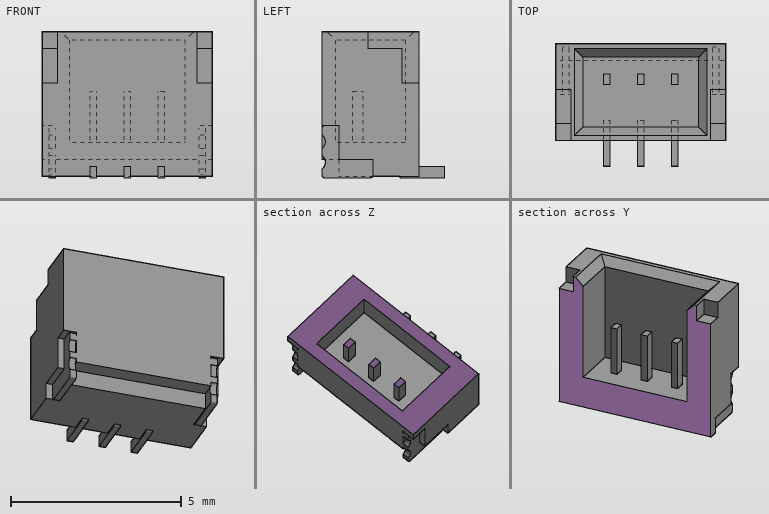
import cadquery as cq

housing_width = 5.0
housing_depth = 2.85
housing_height = 4.25
half_width = housing_width / 2

cavity_width = 3.4
cavity_depth = 2.05
cavity_rear_wall = 0.4
cavity_floor_z = 1.0
lead_in = 0.25

step_short = 0.5
step_long = 1.5
notch_width = 0.46

plate_inset = 0.2
standoff = 0.05
plate_thickness = 0.2
recess_width = plate_inset + plate_thickness
plate_corner_radius = 0.1
scallop_radius = 0.25
scallop_depth = 0.1
scallop_heights = (0.42, 1.02)

contact_count = 3
contact_pitch = 1.0
contact_width = 0.2
post_depth = 0.3
post_rear_gap = 0.9
post_top_z = 2.5
tail_height = 0.35
tail_reach = 0.75
tail_heel = 0.6
tail_heel_radius = 0.1


def box(x, y, z):
    """Box spanning the given (low, high) ranges along X, Y and Z."""
    size = (x[1] - x[0], y[1] - y[0], z[1] - z[0])
    return cq.Workplane("XY").box(*size, centered=False).translate((x[0], y[0], z[0]))


def both_sides(left):
    """The left-hand solid together with its mirror image across X = 0."""
    return left.union(left.mirror("YZ"))


def extrude_side_profile(profile, inset, thickness):
    """Extrude a YZ profile towards +X, starting the given inset from the left side."""
    return profile.extrude(thickness).translate((inset - half_width, 0, 0))


def l_profile(corner_y, corner_z, y_direction, z_direction):
    """L-shaped YZ outline whose outer corner and limb directions are given."""
    short_y = corner_y + y_direction * step_short
    long_y = corner_y + y_direction * step_long
    short_z = corner_z + z_direction * step_short
    long_z = corner_z + z_direction * step_long
    points = [
        (corner_y, corner_z),
        (long_y, corner_z),
        (long_y, short_z),
        (short_y, short_z),
        (short_y, long_z),
        (corner_y, long_z),
    ]
    return cq.Workplane("YZ").polyline(points).close()


def make_cavity():
    centre_y = housing_depth - cavity_rear_wall - cavity_depth / 2
    well = box(
        (-cavity_width / 2, cavity_width / 2),
        (centre_y - cavity_depth / 2, centre_y + cavity_depth / 2),
        (cavity_floor_z, housing_height),
    )
    mouth = (
        cq.Workplane("XY", origin=(0, centre_y, housing_height - lead_in))
        .rect(cavity_width, cavity_depth)
        .workplane(offset=lead_in)
        .rect(cavity_width + 2 * lead_in, cavity_depth + 2 * lead_in)
        .loft(ruled=True)
    )
    return well.union(mouth)


def make_housing():
    sides = (-half_width, half_width)
    block = box(sides, (0, housing_depth), (0, housing_height))
    rear_step = box(sides, (housing_depth - step_short, housing_depth), (0, step_short))
    notch = extrude_side_profile(l_profile(0, housing_height, 1, -1), 0, notch_width)
    recess = extrude_side_profile(l_profile(housing_depth, 0, -1, 1), 0, recess_width)
    return (
        block.cut(make_cavity())
        .cut(rear_step)
        .cut(both_sides(notch))
        .cut(both_sides(recess))
    )


def make_plates():
    front_y = housing_depth - step_long
    inner_y = housing_depth - step_short
    points = [
        (housing_depth, -standoff),
        (front_y, -standoff),
        (front_y, step_short),
        (inner_y, step_short),
        (inner_y, step_long),
        (housing_depth, step_long),
    ]
    outline = cq.Workplane("YZ").polyline(points).close()
    plate = extrude_side_profile(outline, plate_inset, plate_thickness)
    plate = plate.edges("|X and (<Z or >Y)").fillet(plate_corner_radius)

    scallop_y = housing_depth - scallop_depth + scallop_radius
    for scallop_z in scallop_heights:
        circle = cq.Workplane("YZ").center(scallop_y, scallop_z).circle(scallop_radius)
        plate = plate.cut(extrude_side_profile(circle, plate_inset, plate_thickness))
    return both_sides(plate)


def make_contact(centre_x):
    x_range = (centre_x - contact_width / 2, centre_x + contact_width / 2)
    post_rear_y = housing_depth - post_rear_gap
    post = box(
        x_range,
        (post_rear_y - post_depth, post_rear_y),
        (cavity_floor_z, post_top_z),
    )
    tail = box(x_range, (-tail_reach, tail_heel), (-standoff, tail_height - standoff))
    tail = tail.edges("|X and >Y and <Z").fillet(tail_heel_radius)
    return post.union(tail)


result = make_housing().union(make_plates())
for index in range(contact_count):
    offset = index - (contact_count - 1) / 2
    result = result.union(make_contact(offset * contact_pitch))